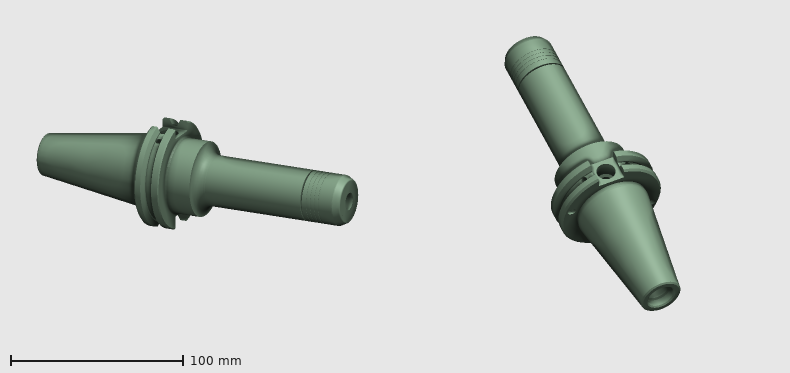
import cadquery as cq
import math

TOTAL_LENGTH = 194.9

TAPER_RATIO = 7 / 24
TAPER_LENGTH = 67.8
TAPER_LARGE_DIA = 44.5
TAPER_SMALL_DIA = TAPER_LARGE_DIA - TAPER_LENGTH * TAPER_RATIO
TAPER_CHAMFER = 0.8
GAUGE_BAND_WIDTH = 1.2
RELIEF_DIA = 44.0

FLANGE_START = 71.3
FLANGE_WIDTH = 16.0
FLANGE_END = FLANGE_START + FLANGE_WIDTH
FLANGE_DIA = 63.5
FLANGE_FRONT_CHAMFER = 1.2
FLANGE_BACK_CHAMFER = 0.5
GROOVE_CENTER = 79.3
GROOVE_FLOOR_DIA = 56.0
GROOVE_FLOOR_WIDTH = 3.5
GROOVE_WALL_HEIGHT = 0.8
GROOVE_HALF_ANGLE = 30.0

SLOT_WIDTH = 16.2
TOP_SLOT_FLOOR = 24.7
BOTTOM_SLOT_FLOOR = 22.8
SLOT_CORNER_FILLET = 0.5

RECESS_DIA = 11.1
RECESS_DEPTH = 9.7
DRILL_DIA = 6.8
DRILL_DEPTH = 3.9
DRILL_POINT_ANGLE = 118.0

GROOVE_HOLE_DIA = 3.7
GROOVE_HOLE_DEPTH = 5.8
GROOVE_HOLE_ANGLES = (60.0, 120.0)

COOLANT_HOLE_DIA = 4.3
COOLANT_HOLE_RADIUS = 26.9
COOLANT_HOLE_TILT = 38.0
COOLANT_HOLE_LENGTH = 2.1
COOLANT_HOLE_ANGLES = (20.0, 200.0)

COLLAR_DIA = 44.5
COLLAR_END = 102.9
COLLAR_FILLET = 1.2
SHANK_DIA = 30.0
SHANK_END = 170.5
SHANK_FILLET = 6.6

NUT_GAP = 1.0
NUT_START = SHANK_END + NUT_GAP
SPIGOT_DIA = 22.0
NUT_NOSE_DIA = 25.7
NUT_NOSE_LENGTH = 4.0
NUT_EDGE_FILLET = 1.0
NUT_GROOVE_COUNT = 4
NUT_GROOVE_START = 174.2
NUT_GROOVE_PITCH = 2.5
NUT_GROOVE_WIDTH = 1.0
NUT_GROOVE_DEPTH = 0.2

THROUGH_BORE_DIA = 10.3
PILOT_DIA = 16.4
PILOT_DEPTH = 5.0
PILOT_CHAMFER = 0.8
THREAD_DIA = 14.5
THREAD_DEPTH = 29.2
THREAD_CHAMFER = (PILOT_DIA - THREAD_DIA) / 2


def revolve_about_x(profile):
    """Turn a closed profile, drawn as (x, radius), about the X axis."""
    return profile.close().revolve(360, (0, 0, 0), (1, 0, 0))


def drill_point_length(diameter):
    """Length of the cone that a drill of this diameter leaves."""
    return diameter / 2 / math.tan(math.radians(DRILL_POINT_ANGLE / 2))


def fillet_middle_offset(radius):
    """Distance of the middle of a square-corner fillet from each of its two faces."""
    return radius * (1 - math.sqrt(0.5))


def make_turned_blank():
    """Solid of revolution: taper, flange, collar, shank and spigot, without the V groove."""
    small_radius = TAPER_SMALL_DIA / 2
    flange_radius = FLANGE_DIA / 2
    collar_radius = COLLAR_DIA / 2
    shank_radius = SHANK_DIA / 2
    band_end = TAPER_LENGTH + GAUGE_BAND_WIDTH
    chamfer_top_rise = TAPER_CHAMFER * TAPER_RATIO / 2
    shank_arc_offset = fillet_middle_offset(SHANK_FILLET)
    collar_arc_offset = fillet_middle_offset(COLLAR_FILLET)
    profile = (
        cq.Workplane("XY")
        .moveTo(0, 0)
        .lineTo(0, small_radius - TAPER_CHAMFER)
        .lineTo(TAPER_CHAMFER, small_radius + chamfer_top_rise)
        .lineTo(TAPER_LENGTH, TAPER_LARGE_DIA / 2)
        .lineTo(band_end, TAPER_LARGE_DIA / 2)
        .lineTo(band_end, RELIEF_DIA / 2)
        .lineTo(FLANGE_START, RELIEF_DIA / 2)
        .lineTo(FLANGE_START, flange_radius - FLANGE_FRONT_CHAMFER)
        .lineTo(FLANGE_START + FLANGE_FRONT_CHAMFER, flange_radius)
        .lineTo(FLANGE_END - FLANGE_BACK_CHAMFER, flange_radius)
        .lineTo(FLANGE_END, flange_radius - FLANGE_BACK_CHAMFER)
        .lineTo(FLANGE_END, collar_radius + COLLAR_FILLET)
        .threePointArc(
            (FLANGE_END + collar_arc_offset, collar_radius + collar_arc_offset),
            (FLANGE_END + COLLAR_FILLET, collar_radius),
        )
        .lineTo(COLLAR_END, collar_radius)
        .lineTo(COLLAR_END, shank_radius + SHANK_FILLET)
        .threePointArc(
            (COLLAR_END + shank_arc_offset, shank_radius + shank_arc_offset),
            (COLLAR_END + SHANK_FILLET, shank_radius),
        )
        .lineTo(SHANK_END, shank_radius)
        .lineTo(SHANK_END, SPIGOT_DIA / 2)
        .lineTo(TOTAL_LENGTH, SPIGOT_DIA / 2)
        .lineTo(TOTAL_LENGTH, 0)
    )
    return revolve_about_x(profile)


def make_gripper_groove():
    """Ring with short upright walls and sloping sides that cuts the V groove of the flange."""
    floor_radius = GROOVE_FLOOR_DIA / 2
    half_floor = GROOVE_FLOOR_WIDTH / 2
    rim_radius = FLANGE_DIA / 2
    wall_radius = floor_radius + GROOVE_WALL_HEIGHT
    half_rim = half_floor + (rim_radius - wall_radius) * math.tan(math.radians(GROOVE_HALF_ANGLE))
    profile = (
        cq.Workplane("XY")
        .moveTo(GROOVE_CENTER - half_floor, floor_radius)
        .lineTo(GROOVE_CENTER + half_floor, floor_radius)
        .lineTo(GROOVE_CENTER + half_floor, wall_radius)
        .lineTo(GROOVE_CENTER + half_rim, rim_radius)
        .lineTo(GROOVE_CENTER - half_rim, rim_radius)
        .lineTo(GROOVE_CENTER - half_floor, wall_radius)
    )
    return revolve_about_x(profile)


def make_bore():
    """Stepped central bore: chamfered pilot, thread bore and through bore."""
    pilot_radius = PILOT_DIA / 2
    thread_radius = THREAD_DIA / 2
    through_radius = THROUGH_BORE_DIA / 2
    cone_length = drill_point_length(THREAD_DIA) - drill_point_length(THROUGH_BORE_DIA)
    profile = (
        cq.Workplane("XY")
        .moveTo(0, 0)
        .lineTo(0, pilot_radius + PILOT_CHAMFER)
        .lineTo(PILOT_CHAMFER, pilot_radius)
        .lineTo(PILOT_DEPTH, pilot_radius)
        .lineTo(PILOT_DEPTH + THREAD_CHAMFER, thread_radius)
        .lineTo(THREAD_DEPTH, thread_radius)
        .lineTo(THREAD_DEPTH + cone_length, through_radius)
        .lineTo(TOTAL_LENGTH, through_radius)
        .lineTo(TOTAL_LENGTH, 0)
    )
    return revolve_about_x(profile)


def make_drive_slot(floor_height, direction):
    """Block with rounded floor corners for one slot; direction is +1 above, -1 below the axis."""
    slot_depth = FLANGE_DIA / 2 - floor_height
    middle_height = direction * (floor_height + slot_depth / 2)
    return (
        cq.Workplane("XY")
        .box(FLANGE_WIDTH, SLOT_WIDTH, slot_depth)
        .faces("<Z" if direction > 0 else ">Z")
        .edges("|X")
        .fillet(SLOT_CORNER_FILLET)
        .translate((FLANGE_START + FLANGE_WIDTH / 2, 0, middle_height))
    )


def make_slot_hole():
    """Flat recess with a smaller pointed drill hole, sunk from the top slot floor."""
    recess_floor = -RECESS_DEPTH
    drill_end = recess_floor - DRILL_DEPTH
    point_end = drill_end - drill_point_length(DRILL_DIA)
    return (
        cq.Workplane("XZ")
        .moveTo(0, 0)
        .lineTo(RECESS_DIA / 2, 0)
        .lineTo(RECESS_DIA / 2, recess_floor)
        .lineTo(DRILL_DIA / 2, recess_floor)
        .lineTo(DRILL_DIA / 2, drill_end)
        .lineTo(0, point_end)
        .close()
        .revolve(360, (0, 0, 0), (0, 1, 0))
        .translate((GROOVE_CENTER, 0, TOP_SLOT_FLOOR))
    )


def make_groove_hole(angle):
    """Radial blind hole in the groove, at an angle from +Y towards +Z."""
    radial = cq.Vector(0, math.cos(math.radians(angle)), math.sin(math.radians(angle)))
    start = cq.Vector(GROOVE_CENTER, 0, 0) + radial * (GROOVE_FLOOR_DIA / 2 - GROOVE_HOLE_DEPTH)
    length = GROOVE_HOLE_DEPTH + (FLANGE_DIA - GROOVE_FLOOR_DIA) / 2
    return cq.Solid.makeCylinder(GROOVE_HOLE_DIA / 2, length, start, radial)


def make_coolant_hole(angle):
    """Pointed blind hole from the front face of the flange, leaning towards the axis."""
    tilt = math.radians(COOLANT_HOLE_TILT)
    radial = cq.Vector(0, math.cos(math.radians(angle)), math.sin(math.radians(angle)))
    direction = cq.Vector(math.cos(tilt), 0, 0) - radial * math.sin(tilt)
    mouth = cq.Vector(FLANGE_START, 0, 0) + radial * COOLANT_HOLE_RADIUS
    lead_in = COOLANT_HOLE_DIA
    start = mouth - direction * lead_in
    length = COOLANT_HOLE_LENGTH + lead_in
    barrel = cq.Solid.makeCylinder(COOLANT_HOLE_DIA / 2, length, start, direction)
    point_base = mouth + direction * COOLANT_HOLE_LENGTH
    point_length = drill_point_length(COOLANT_HOLE_DIA)
    point = cq.Solid.makeCone(COOLANT_HOLE_DIA / 2, 0, point_length, point_base, direction)
    return barrel.fuse(point)


def make_holder():
    """Tool holder with taper, flange, shank and spigot."""
    holder = make_turned_blank().cut(make_gripper_groove()).cut(make_bore())
    holder = holder.cut(make_drive_slot(TOP_SLOT_FLOOR, 1))
    holder = holder.cut(make_drive_slot(BOTTOM_SLOT_FLOOR, -1))
    holder = holder.cut(make_slot_hole())
    for angle in GROOVE_HOLE_ANGLES:
        holder = holder.cut(cq.Workplane(make_groove_hole(angle)))
    for angle in COOLANT_HOLE_ANGLES:
        holder = holder.cut(cq.Workplane(make_coolant_hole(angle)))
    return holder


def make_nut():
    """Clamping nut: grooved sleeve around the spigot with a tapered nose."""
    nut_radius = SHANK_DIA / 2
    nose_start = TOTAL_LENGTH - NUT_NOSE_LENGTH
    profile = (
        cq.Workplane("XY")
        .moveTo(NUT_START, SPIGOT_DIA / 2)
        .lineTo(NUT_START, nut_radius)
        .lineTo(nose_start, nut_radius)
        .lineTo(TOTAL_LENGTH, NUT_NOSE_DIA / 2)
        .lineTo(TOTAL_LENGTH, SPIGOT_DIA / 2)
    )
    nut = revolve_about_x(profile)
    nose_edges = cq.selectors.BoxSelector(
        (nose_start - NUT_EDGE_FILLET, -nut_radius, -nut_radius),
        (nose_start + NUT_EDGE_FILLET, nut_radius, nut_radius),
    )
    nut = nut.edges(nose_edges).fillet(NUT_EDGE_FILLET)
    nut = nut.faces(">X").edges(cq.selectors.RadiusNthSelector(-1)).fillet(NUT_EDGE_FILLET)

    for index in range(NUT_GROOVE_COUNT):
        groove_start = NUT_GROOVE_START + index * NUT_GROOVE_PITCH
        groove = (
            cq.Workplane("YZ", origin=(groove_start, 0, 0))
            .circle(nut_radius)
            .circle(nut_radius - NUT_GROOVE_DEPTH)
            .extrude(NUT_GROOVE_WIDTH)
        )
        nut = nut.cut(groove)
    return nut


holder = make_holder()
nut = make_nut()
result = cq.Compound.makeCompound([holder.val(), nut.val()])